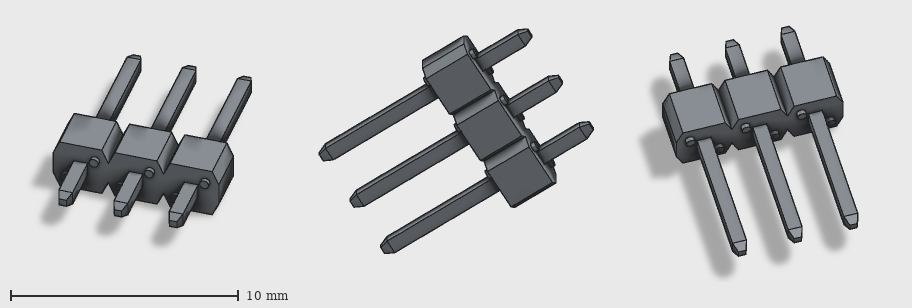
import cadquery as cq

PIN_COUNT = 3
HOUSING_LENGTH = 7.62
HOUSING_DEPTH = 2.15
HOUSING_HEIGHT = 2.41
WAIST_HEIGHT = 1.08
BEVEL_WIDTH = 0.3

PEG_DIAMETER = 0.41
PEG_HEIGHT = 0.2
PEG_OFFSET_X = 0.66
PEG_OFFSET_Z = 0.55

PIN_LENGTH = 10.8
PIN_WIDTH = 0.64
PIN_FRONT_REACH = 2.61
TIP_WIDTH = 0.33
TIP_LENGTH = 0.42

PITCH = HOUSING_LENGTH / PIN_COUNT
POSITIONS = [(i - (PIN_COUNT - 1) / 2) * PITCH for i in range(PIN_COUNT)]
PIN_FRONT = -PIN_FRONT_REACH
PIN_BACK = PIN_FRONT + PIN_LENGTH


def section_plane(y):
    """Plane across the pins at depth y, with local axes X and Z and normal -Y."""
    return cq.Workplane("XZ", origin=(0, y, 0))


def housing_outline():
    """Row of octagons joined at their waists, as a closed list of (x, z) points."""
    half_flat = PITCH / 2 - BEVEL_WIDTH
    half_height = HOUSING_HEIGHT / 2
    half_waist = WAIST_HEIGHT / 2
    upper = [(-HOUSING_LENGTH / 2, half_waist)]
    for x in POSITIONS:
        upper.append((x - half_flat, half_height))
        upper.append((x + half_flat, half_height))
        upper.append((x + PITCH / 2, half_waist))
    lower = [(x, -z) for x, z in reversed(upper)]
    return upper + lower


def make_housing():
    """Insulating block with standoff pegs on both faces and a square hole per pin."""
    block = section_plane(HOUSING_DEPTH).polyline(housing_outline()).close().extrude(HOUSING_DEPTH)

    peg_places = []
    for x in POSITIONS:
        peg_places.append((x - PEG_OFFSET_X, -PEG_OFFSET_Z))
        peg_places.append((x + PEG_OFFSET_X, PEG_OFFSET_Z))
    pegs = (
        section_plane(HOUSING_DEPTH + PEG_HEIGHT)
        .pushPoints(peg_places)
        .circle(PEG_DIAMETER / 2)
        .extrude(HOUSING_DEPTH + 2 * PEG_HEIGHT)
    )

    pin_holes = (
        section_plane(HOUSING_DEPTH)
        .pushPoints([(x, 0) for x in POSITIONS])
        .rect(PIN_WIDTH, PIN_WIDTH)
        .extrude(HOUSING_DEPTH)
    )
    return block.union(pegs).cut(pin_holes).solids().val()


def make_tip(shank_end, tip_end):
    """Square taper from the full pin section at shank_end to the blunt tip_end."""
    shank_section = section_plane(shank_end).rect(PIN_WIDTH, PIN_WIDTH)
    return (
        shank_section.workplane(offset=shank_end - tip_end)
        .rect(TIP_WIDTH, TIP_WIDTH)
        .loft(ruled=True)
    )


def make_pin(x):
    """Square pin at row position x, tapered at both ends."""
    shank_front = PIN_FRONT + TIP_LENGTH
    shank_back = PIN_BACK - TIP_LENGTH
    shank = section_plane(shank_back).rect(PIN_WIDTH, PIN_WIDTH).extrude(shank_back - shank_front)
    front_tip = make_tip(shank_front, PIN_FRONT)
    back_tip = make_tip(shank_back, PIN_BACK)
    pin = shank.union(front_tip).union(back_tip)
    return pin.translate((x, 0, 0)).solids().val()


housing = make_housing()
pins = [make_pin(x) for x in POSITIONS]

result = cq.Compound.makeCompound([housing, *pins])